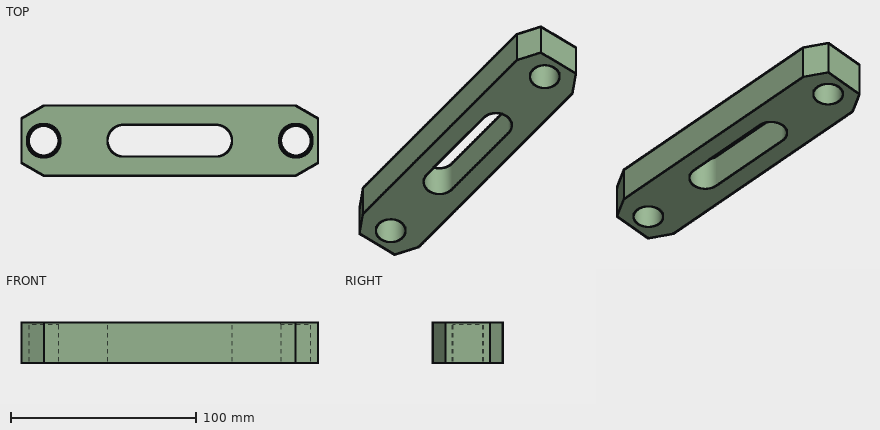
import cadquery as cq
import math

LENGTH = 160.0
WIDTH = 38.0
HEIGHT = 22.0

END_FACE_WIDTH = 24.0
CORNER_ANGLE = 30.0
CORNER_DEPTH = (WIDTH - END_FACE_WIDTH) / 2
CORNER_LENGTH = CORNER_DEPTH / math.tan(math.radians(CORNER_ANGLE))

SLOT_LENGTH = 67.0
SLOT_WIDTH = 17.0

HOLE_SPACING = 136.0
HOLE_DIAMETER = 16.0
COUNTERSINK_DIAMETER = 18.2
COUNTERSINK_ANGLE = 90.0


def make_bar():
    """Rectangular bar standing on Z = 0 with its four upright corners cut off."""
    half_length = LENGTH / 2
    half_width = WIDTH / 2
    side_end = half_length - CORNER_LENGTH
    end_edge = END_FACE_WIDTH / 2
    outline = [
        (-side_end, -half_width),
        (side_end, -half_width),
        (half_length, -end_edge),
        (half_length, end_edge),
        (side_end, half_width),
        (-side_end, half_width),
        (-half_length, end_edge),
        (-half_length, -end_edge),
    ]
    return cq.Workplane("XY").polyline(outline).close().extrude(HEIGHT)


def cut_slot(body):
    """Cut the round-ended slot through the middle of the bar."""
    return body.faces(">Z").workplane(origin=(0, 0, HEIGHT)).slot2D(SLOT_LENGTH, SLOT_WIDTH).cutThruAll()


def cut_end_holes(body):
    """Cut a countersunk through hole near each end of the bar."""
    return (
        body.faces(">Z")
        .workplane(origin=(0, 0, HEIGHT))
        .pushPoints([(-HOLE_SPACING / 2, 0), (HOLE_SPACING / 2, 0)])
        .cskHole(HOLE_DIAMETER, COUNTERSINK_DIAMETER, COUNTERSINK_ANGLE)
    )


result = cut_end_holes(cut_slot(make_bar()))